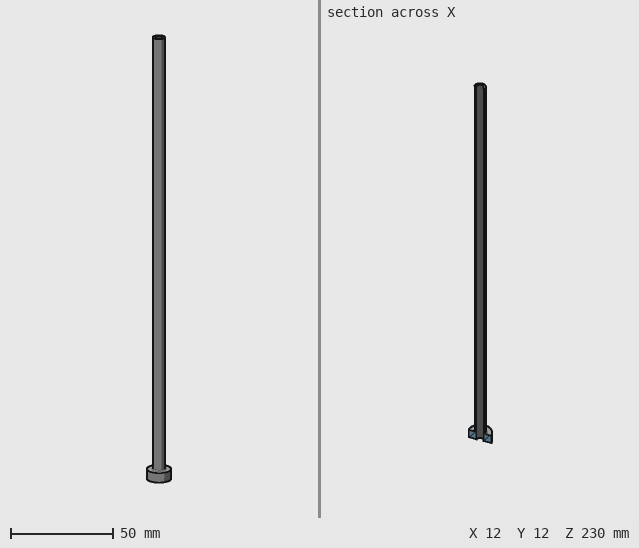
import cadquery as cq

total_length = 230.0
head_diameter = 12.0
head_height = 5.0
tube_diameter = 6.0
bore_diameter = 3.5
root_fillet_radius = 0.5

head_radius = head_diameter / 2
tube_radius = tube_diameter / 2
bore_radius = bore_diameter / 2

half_section = (
    cq.Workplane("XZ")
    .moveTo(bore_radius, 0)
    .lineTo(head_radius, 0)
    .lineTo(head_radius, head_height)
    .lineTo(tube_radius + root_fillet_radius, head_height)
    .radiusArc((tube_radius, head_height + root_fillet_radius), root_fillet_radius)
    .lineTo(tube_radius, total_length)
    .lineTo(bore_radius, total_length)
    .close()
)

result = half_section.revolve(360, (0, 0, 0), (0, 1, 0))